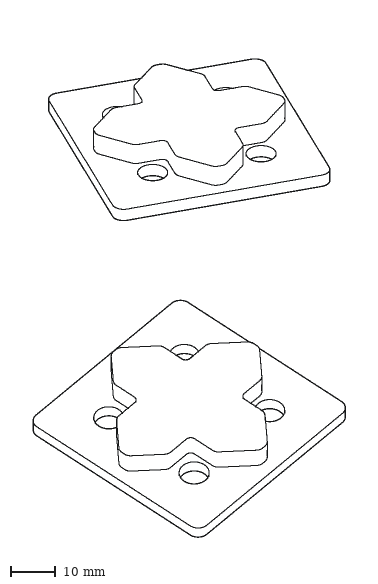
import cadquery as cq

plate_side = 50.8
plate_thickness = 3.0
plate_corner_radius = 2.6
hole_spacing = 25.4
hole_diameter = 6.7

cross_height = 5.0
arm_reach = 22.2
tip_half_width = 1.2
outer_corner_radius = 2.0
inner_corner_radius = 1.25

flank_regular = 8.1
flank_narrow = 7.65
flank_wide = 8.35


def shoulder_distance(flank):
    """Distance from the centre at which a 45 degree tip face meets a flank."""
    return arm_reach + tip_half_width - flank


def make_plate():
    plate = cq.Workplane("XY").box(
        plate_side, plate_side, plate_thickness, centered=(True, True, False)
    )
    plate = plate.edges("|Z").fillet(plate_corner_radius)
    return (
        plate.faces(">Z").workplane()
        .rect(hole_spacing, hole_spacing, forConstruction=True).vertices()
        .hole(hole_diameter)
    )


def quadrant_points(sign_x, sign_y, vertical_flank, horizontal_flank):
    """Corners of one quadrant, from its tip on the X axis to its tip on the Y axis."""
    corners = [
        (arm_reach, tip_half_width),
        (shoulder_distance(horizontal_flank), horizontal_flank),
        (vertical_flank, horizontal_flank),
        (vertical_flank, shoulder_distance(vertical_flank)),
        (tip_half_width, arm_reach),
    ]
    return [(sign_x * x, sign_y * y) for x, y in corners]


def make_cross():
    quadrants = [
        (1, 1, flank_wide, flank_narrow),
        (-1, 1, flank_narrow, flank_wide),
        (-1, -1, flank_regular, flank_regular),
        (1, -1, flank_regular, flank_regular),
    ]
    outline = []
    inner_corners = []
    for sign_x, sign_y, vertical_flank, horizontal_flank in quadrants:
        points = quadrant_points(sign_x, sign_y, vertical_flank, horizontal_flank)
        inner_corners.append((sign_x * vertical_flank, sign_y * horizontal_flank))
        outline += points if sign_x * sign_y > 0 else points[::-1]

    cross = (
        cq.Workplane("XY").workplane(offset=plate_thickness)
        .polyline(outline).close().extrude(cross_height)
    )
    mid_height = plate_thickness + cross_height / 2
    for x, y in inner_corners:
        inner_edge = cq.selectors.NearestToPointSelector((x, y, mid_height))
        cross = cross.edges(inner_edge).fillet(inner_corner_radius)
    for x, y in outline:
        if (x, y) not in inner_corners:
            outer_edge = cq.selectors.NearestToPointSelector((x, y, mid_height))
            cross = cross.edges(outer_edge).fillet(outer_corner_radius)
    return cross


result = make_plate().union(make_cross())